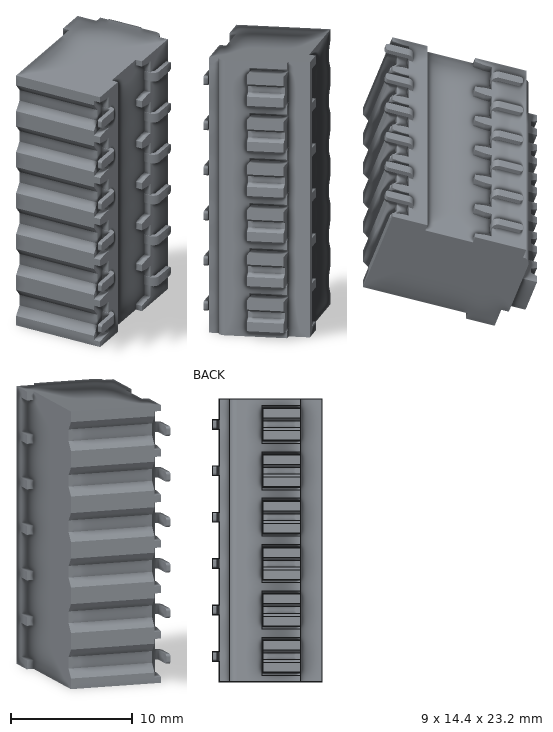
import cadquery as cq
import math

pole_count = 6
pole_pitch = 3.81
end_margin = 2.1
height = (pole_count - 1) * pole_pitch + 2 * end_margin
pole_centers = [end_margin + i * pole_pitch for i in range(pole_count)]
rib_centers = [(a + b) / 2 for a, b in zip(pole_centers, pole_centers[1:])]

step = 0.58
side_left = step
side_right = 8.45
recess_right = side_right - step
shoulder_y = 11.55
cap_y = 12.2
cap_left = 1.78
cap_right = 7.62
cap_corner_radius = cap_y - shoulder_y
ledge_front_y = 9.06
foot_back_y = 3.03
rear_foot_y = 7.14

lug_width = 0.74
pocket_back_y = 10.56

groove_depth = 0.58
groove_mouth = 2.42
groove_floor = 0.98

slot_mouth = 3.22
slot_width = 2.9
slot_depth = 1.45
slot_taper_depth = 0.9

lever_width = 2.6
lever_right = 4.86
lever_back_y = 13.64
lever_notch_depth = 0.51
lever_notch_mouth = 1.04
lever_notch_floor = 0.54
window_clearance = 0.06
window_width = lever_width + 2 * window_clearance
window_chamfer = 0.2

pin_outer_x = 9.0
pin_thickness = 0.36
pin_width = 0.8
pin_tip_radius = 0.22
pin_bend_radius = 0.2
pin_root_x = 7.0
front_pin_tip_y = -0.74
rear_pin_tip_y = 11.08
front_pin_arm_y = 1.42
rear_pin_arm_y = 8.9

arc_middle = math.sqrt(0.5)


def extrude_between(outline, z_low, z_high):
    """Extrude a closed XY outline between two Z levels."""
    return outline.extrude(z_high - z_low).translate((0, 0, z_low))


def block(x_low, x_high, y_low, y_high, z_low, z_high):
    """Axis-aligned box given by its limits."""
    outline = cq.Workplane("XY").center((x_low + x_high) / 2, (y_low + y_high) / 2)
    return extrude_between(outline.rect(x_high - x_low, y_high - y_low), z_low, z_high)


def trapezoid_prism(x_low, x_high, y_wide, wide, y_narrow, narrow, center_z):
    """Prism along X whose Z width changes from `wide` to `narrow` along Y."""
    return (
        cq.Workplane("YZ", origin=(x_low, 0, center_z))
        .moveTo(y_wide, -wide / 2)
        .lineTo(y_narrow, -narrow / 2)
        .lineTo(y_narrow, narrow / 2)
        .lineTo(y_wide, wide / 2)
        .close()
        .extrude(x_high - x_low)
    )


def make_housing():
    """Full-height extrusion of the housing cross-section."""
    corner_mid = cap_corner_radius * arc_middle
    outline = (
        cq.Workplane("XY")
        .moveTo(side_left, 0)
        .lineTo(side_right, 0)
        .lineTo(side_right, foot_back_y)
        .lineTo(recess_right, foot_back_y)
        .lineTo(recess_right, rear_foot_y)
        .lineTo(side_right, rear_foot_y)
        .lineTo(side_right, shoulder_y)
        .lineTo(cap_right, shoulder_y)
        .threePointArc(
            (cap_right - cap_corner_radius + corner_mid, shoulder_y + corner_mid),
            (cap_right - cap_corner_radius, cap_y),
        )
        .lineTo(cap_left, cap_y)
        .lineTo(cap_left, shoulder_y)
        .lineTo(0, shoulder_y)
        .lineTo(0, ledge_front_y)
        .lineTo(side_left, ledge_front_y)
        .close()
    )
    return outline.extrude(height)


def cut_side_pockets(body):
    """Cut the -X ledge back to the main face between the lugs."""
    pocket_bottoms = [lug_width] + [z + lug_width / 2 for z in rib_centers]
    pocket_tops = [z - lug_width / 2 for z in rib_centers] + [height - lug_width]
    for z_low, z_high in zip(pocket_bottoms, pocket_tops):
        body = body.cut(block(0, side_left, ledge_front_y, pocket_back_y, z_low, z_high))
    return body


def cut_front_groove(body, center_z):
    """Cut a trapezoidal groove across the front face."""
    groove = trapezoid_prism(0, side_right, 0, groove_mouth, groove_depth, groove_floor, center_z)
    return body.cut(groove)


def cut_pin_slot(body, foot_front_y, center_z):
    """Cut a slot with a tapered mouth into the front of a +X foot."""
    mouth = trapezoid_prism(
        recess_right,
        side_right,
        foot_front_y,
        slot_mouth,
        foot_front_y + slot_taper_depth,
        slot_width,
        center_z,
    )
    z_low = center_z - slot_width / 2
    slot_end_y = foot_front_y + slot_depth
    slot = block(recess_right, side_right, foot_front_y, slot_end_y, z_low, z_low + slot_width)
    return body.cut(mouth).cut(slot)


def cut_lever_window(body, center_z):
    """Cut a window with a flared mouth through the rear cap, open on its -X side."""
    right = lever_right + window_clearance
    z_low = center_z - window_width / 2
    window = block(cap_left, right, shoulder_y, cap_y, z_low, z_low + window_width)
    flare = trapezoid_prism(
        cap_left,
        right,
        cap_y,
        window_width + 2 * window_chamfer,
        cap_y - window_chamfer,
        window_width,
        center_z,
    )
    return body.cut(window).cut(flare)


def make_lever(center_z):
    """Lever block with a tapering notch in its rear face."""
    z_low = center_z - lever_width / 2
    lever = block(cap_left, lever_right, shoulder_y, lever_back_y, z_low, z_low + lever_width)
    notch = trapezoid_prism(
        cap_left,
        lever_right,
        lever_back_y,
        lever_notch_mouth,
        lever_back_y - lever_notch_depth,
        lever_notch_floor,
        center_z,
    )
    return lever.cut(notch)


def make_pin(arm_y, tip_y, center_z):
    """L-shaped pin: an arm along X, a round bend, and a leg along Y with a rounded tip."""
    toward_tip = math.copysign(1, tip_y - arm_y)
    outer_radius = pin_bend_radius + pin_thickness
    inner_x = pin_outer_x - pin_thickness
    bend_x = pin_outer_x - outer_radius
    bend_y = arm_y + toward_tip * pin_bend_radius
    arm_back_y = arm_y - toward_tip * pin_thickness
    inner_mid = pin_bend_radius * arc_middle
    outer_mid = outer_radius * arc_middle
    outline = (
        cq.Workplane("XY")
        .moveTo(pin_root_x, arm_y)
        .lineTo(bend_x, arm_y)
        .threePointArc(
            (bend_x + inner_mid, bend_y - toward_tip * inner_mid),
            (inner_x, bend_y),
        )
        .lineTo(inner_x, tip_y)
        .lineTo(pin_outer_x, tip_y)
        .lineTo(pin_outer_x, bend_y)
        .threePointArc(
            (bend_x + outer_mid, bend_y - toward_tip * outer_mid),
            (bend_x, arm_back_y),
        )
        .lineTo(pin_root_x, arm_back_y)
        .close()
    )
    pin = extrude_between(outline, center_z - pin_width / 2, center_z + pin_width / 2)
    tip_face = "<Y" if toward_tip < 0 else ">Y"
    return pin.faces(tip_face).edges("|X").fillet(pin_tip_radius)


result = cut_side_pockets(make_housing())
for pole_z in pole_centers:
    result = cut_front_groove(result, pole_z)
    result = cut_pin_slot(result, 0, pole_z)
    result = cut_pin_slot(result, rear_foot_y, pole_z)
    result = cut_lever_window(result, pole_z)
    result = result.union(make_lever(pole_z))
    result = result.union(make_pin(front_pin_arm_y, front_pin_tip_y, pole_z))
    result = result.union(make_pin(rear_pin_arm_y, rear_pin_tip_y, pole_z))